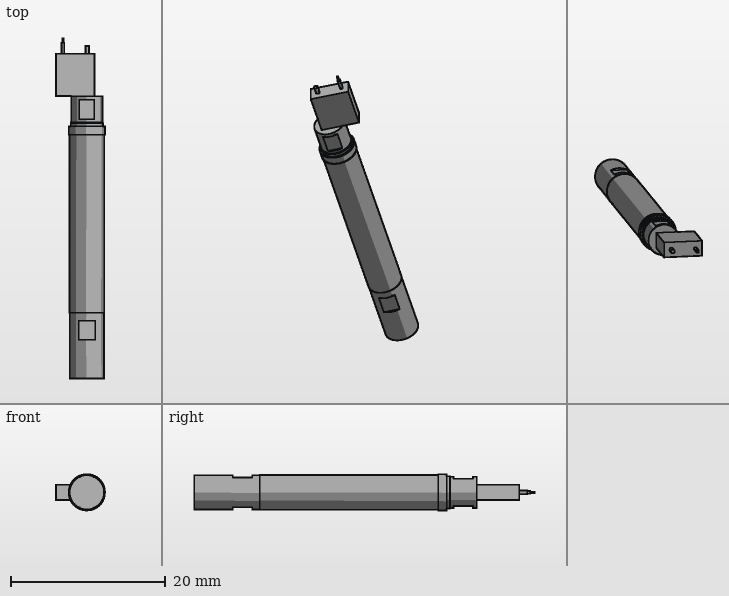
import cadquery as cq

TOTAL_LENGTH = 44.0

TAIL_DIAMETER = 4.44
TAIL_END = 8.5
BARREL_DIAMETER = 4.5
BARREL_END = 31.5
RING_DIAMETER = 4.7
RING_END = 32.6
COLLAR_DIAMETER = 4.2
COLLAR_END = 33.0
COLLAR_LIP_DIAMETER = 4.12
COLLAR_LIP_LENGTH = 0.1
COLLAR_LIP_END = COLLAR_END + COLLAR_LIP_LENGTH
NECK_DIAMETER = 4.05
NECK_END = 36.5

FLAT_LENGTH = 2.5
TAIL_FLAT_START = 5.0
TAIL_ACROSS_FLATS = 3.9
NECK_FLAT_START = 33.5
NECK_ACROSS_FLATS = 3.55

OVERALL_WIDTH = 6.34
BLOCK_WIDTH = 5.0
BLOCK_LENGTH = 5.5
BLOCK_THICKNESS = 2.0
BLOCK_LEFT = RING_DIAMETER / 2 - OVERALL_WIDTH
BLOCK_END = NECK_END + BLOCK_LENGTH

LONG_WIRE_DIAMETER = 0.4
LONG_WIRE_X = -3.1
LONG_WIRE_END = 43.4
CORE_DIAMETER = 0.2
SHORT_WIRE_DIAMETER = 0.5
SHORT_WIRE_X = 0.05
SHORT_WIRE_END = 43.0


def cylinder_along_y(diameter, start, end, x=0.0):
    """Cylinder parallel to Y, between two Y stations."""
    return cq.Workplane("XZ", origin=(x, start, 0)).circle(diameter / 2).extrude(start - end)


def turned_body():
    """Stepped round body from the tail to the neck."""
    sections = [
        (TAIL_DIAMETER, TAIL_END),
        (BARREL_DIAMETER, BARREL_END),
        (RING_DIAMETER, RING_END),
        (COLLAR_DIAMETER, COLLAR_END),
        (COLLAR_LIP_DIAMETER, COLLAR_LIP_END),
        (NECK_DIAMETER, NECK_END),
    ]
    body = cq.Workplane("XZ")
    start = 0.0
    for diameter, end in sections:
        body = body.union(cylinder_along_y(diameter, start, end))
        start = end
    return body


def cut_flats(body, start, across_flats):
    """Mill two opposed flats, leaving across_flats of material in Z."""
    for side in (1, -1):
        cutter = cq.Workplane("XY").box(RING_DIAMETER, FLAT_LENGTH, RING_DIAMETER)
        offset = side * (across_flats + RING_DIAMETER) / 2
        body = body.cut(cutter.translate((0, start + FLAT_LENGTH / 2, offset)))
    return body


def connector_block():
    """Rectangular block butted against the neck face."""
    block = cq.Workplane("XY").box(BLOCK_WIDTH, BLOCK_LENGTH, BLOCK_THICKNESS)
    return block.translate((BLOCK_LEFT + BLOCK_WIDTH / 2, NECK_END + BLOCK_LENGTH / 2, 0))


def wires():
    """Long wire with a bare core at its tip, and a shorter plain wire."""
    long_wire = cylinder_along_y(LONG_WIRE_DIAMETER, BLOCK_END, LONG_WIRE_END, LONG_WIRE_X)
    core = cylinder_along_y(CORE_DIAMETER, LONG_WIRE_END, TOTAL_LENGTH, LONG_WIRE_X)
    short_wire = cylinder_along_y(SHORT_WIRE_DIAMETER, BLOCK_END, SHORT_WIRE_END, SHORT_WIRE_X)
    return long_wire.union(core).union(short_wire)


probe = turned_body()
probe = cut_flats(probe, TAIL_FLAT_START, TAIL_ACROSS_FLATS)
probe = cut_flats(probe, NECK_FLAT_START, NECK_ACROSS_FLATS)
result = probe.union(connector_block()).union(wires())